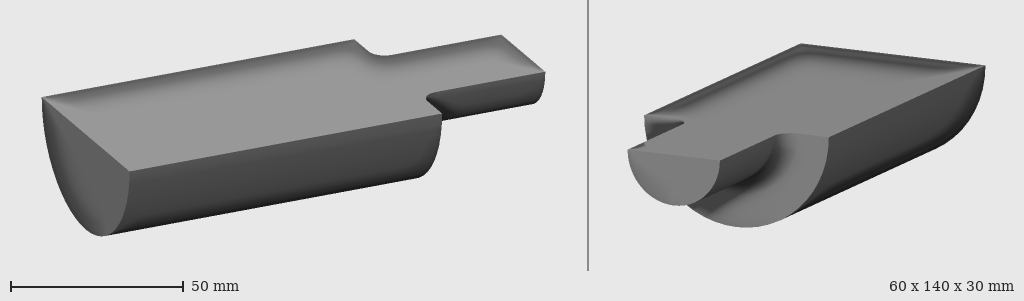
import cadquery as cq

total_length = 140.0
body_length = 100.0
body_diameter = 60.0
fillet_radius = 5.0

body_radius = body_diameter / 2
shank_radius = body_radius / 2


def half_profile():
    """Outline from the axis to the outer surface, with a fillet at the shoulder."""
    return (
        cq.Workplane("XY")
        .lineTo(body_radius, 0)
        .lineTo(body_radius, body_length)
        .lineTo(shank_radius + fillet_radius, body_length)
        .radiusArc((shank_radius, body_length + fillet_radius), fillet_radius)
        .lineTo(shank_radius, total_length)
        .lineTo(0, total_length)
        .close()
    )


result = half_profile().revolve(180, (0, 0), (0, 1))